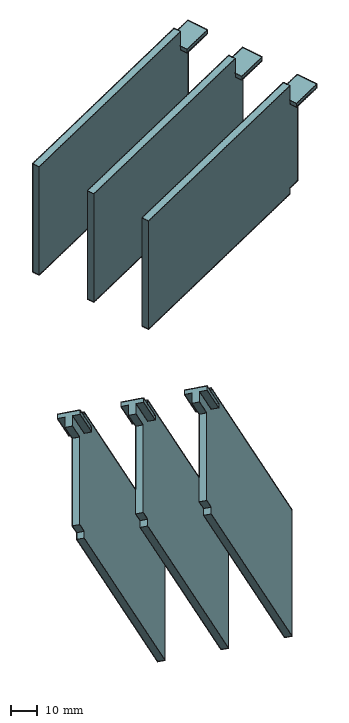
import cadquery as cq

card_length = 103.0
card_height = 55.5
card_thickness = 3.0

hook_length = 13.0
tip_overhang = 8.0
hook_bottom_drop = 14.0
foot_step = 3.0

flange_width = 9.0
flange_thickness = 2.0
flange_drop = 7.5

card_count = 3
row_width = 59.0
card_pitch = (row_width - flange_width) / (card_count - 1)

panel_end_y = card_length - hook_length
middle_end_y = card_length - tip_overhang
hook_bottom_z = card_height - hook_bottom_drop
flange_top_z = card_height - flange_drop


def make_plate():
    """Flat plate with the hook at its upper rear and a notch at its lower rear corner."""
    outline = [
        (0, 0),
        (panel_end_y, 0),
        (panel_end_y, foot_step),
        (middle_end_y, foot_step),
        (middle_end_y, hook_bottom_z),
        (card_length, hook_bottom_z),
        (card_length, flange_top_z),
        (panel_end_y, flange_top_z),
        (panel_end_y, card_height),
        (0, card_height),
    ]
    return cq.Workplane("YZ").polyline(outline).close().extrude(card_thickness / 2, both=True)


def make_flange():
    """Flange lying across the hook, flush with its top and its rear tip."""
    return (
        cq.Workplane("XY")
        .box(flange_width, hook_length, flange_thickness, centered=(True, False, False))
        .translate((0, panel_end_y, flange_top_z - flange_thickness))
    )


def make_card(x):
    """One card, plate and flange in one piece, centred on the given X."""
    return make_plate().union(make_flange()).translate((x, 0, 0))


cards = []
for index in range(card_count):
    offset_from_middle = index - (card_count - 1) / 2
    cards.append(make_card(offset_from_middle * card_pitch).val())

result = cq.Compound.makeCompound(cards)